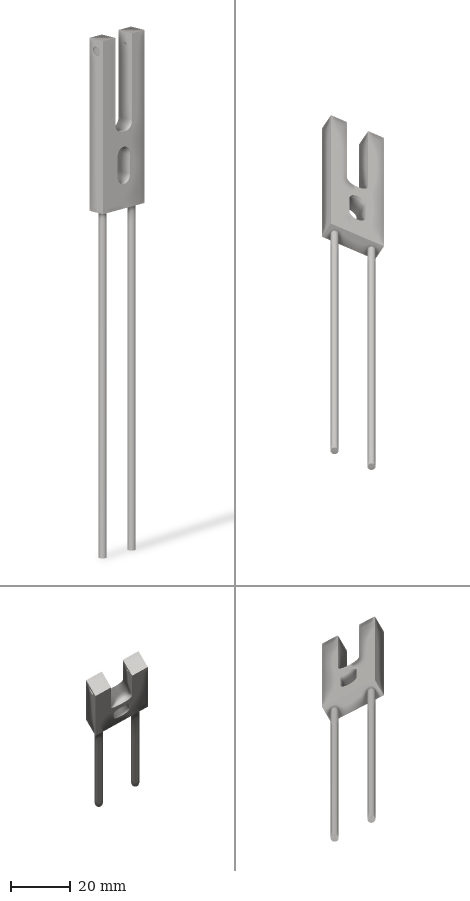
import cadquery as cq

TOTAL_HEIGHT = 180.0
HOUSING_THICKNESS = 6.3
HOUSING_WIDTH = 20.2
HOUSING_HEIGHT = 60.0
WIRE_LENGTH = TOTAL_HEIGHT - HOUSING_HEIGHT

SLOT_WIDTH = 8.1
SLOT_DEPTH = 33.3
SLOT_CORNER_RADIUS = 3.2

OBLONG_WIDTH = 6.1
OBLONG_HEIGHT = 13.0
OBLONG_BOTTOM_WALL = 8.5

RECESS_DROP = 4.1
INDICATOR_DIAMETER = 3.2
LENS_DIAMETER = 1.0
RECESS_DEPTH = 0.4

WIRE_DIAMETER = 2.7
WIRE_OFFSET = 7.0
TIP_LENGTH = 9.9
BAND_LENGTH = 9.9
LEAD_LENGTH = WIRE_LENGTH - BAND_LENGTH - TIP_LENGTH

SLOT_FLOOR_Z = HOUSING_HEIGHT - SLOT_DEPTH
OBLONG_CENTER_Z = OBLONG_BOTTOM_WALL + OBLONG_HEIGHT / 2
RECESS_Z = HOUSING_HEIGHT - RECESS_DROP
BAND_BOTTOM_Z = TIP_LENGTH - WIRE_LENGTH
LEAD_BOTTOM_Z = BAND_BOTTOM_Z + BAND_LENGTH


def make_fork_slot():
    """Slot open at the top, with both floor corners rounded."""
    return (
        cq.Workplane("XY", origin=(0, 0, SLOT_FLOOR_Z))
        .box(HOUSING_THICKNESS, SLOT_WIDTH, SLOT_DEPTH, centered=(True, True, False))
        .edges("|X and <Z")
        .fillet(SLOT_CORNER_RADIUS)
    )


def make_oblong_hole():
    """Upright oblong passing through the housing along X."""
    return (
        cq.Workplane("YZ", origin=(0, 0, OBLONG_CENTER_Z))
        .slot2D(OBLONG_HEIGHT, OBLONG_WIDTH, 90)
        .extrude(HOUSING_THICKNESS / 2, both=True)
    )


def make_recess(face_y, diameter):
    """Shallow round recess cut toward +Y from a face at face_y."""
    recess = cq.Solid.makeCylinder(
        diameter / 2, RECESS_DEPTH, cq.Vector(0, face_y, RECESS_Z), cq.Vector(0, 1, 0)
    )
    return cq.Workplane(recess)


def make_housing():
    """Fork-shaped sensor housing."""
    block = cq.Workplane("XY").box(
        HOUSING_THICKNESS, HOUSING_WIDTH, HOUSING_HEIGHT, centered=(True, True, False)
    )
    return (
        block.cut(make_fork_slot())
        .cut(make_oblong_hole())
        .cut(make_recess(-HOUSING_WIDTH / 2, INDICATOR_DIAMETER))
        .cut(make_recess(SLOT_WIDTH / 2, LENS_DIAMETER))
    )


def make_wire_section(y, bottom_z, length):
    """One round length of wire standing on bottom_z."""
    return cq.Workplane("XY", origin=(0, y, bottom_z)).circle(WIRE_DIAMETER / 2).extrude(length)


def make_lead(y):
    return make_wire_section(y, LEAD_BOTTOM_Z, LEAD_LENGTH)


def make_band(y):
    return make_wire_section(y, BAND_BOTTOM_Z, BAND_LENGTH)


def make_tip(y):
    return make_wire_section(y, -WIRE_LENGTH, TIP_LENGTH)


housing = make_housing()
wire_parts = []
for wire_y in (-WIRE_OFFSET, WIRE_OFFSET):
    for make_part in (make_lead, make_band, make_tip):
        wire_parts.append(make_part(wire_y).val())

result = cq.Compound.makeCompound([housing.val(), *wire_parts])